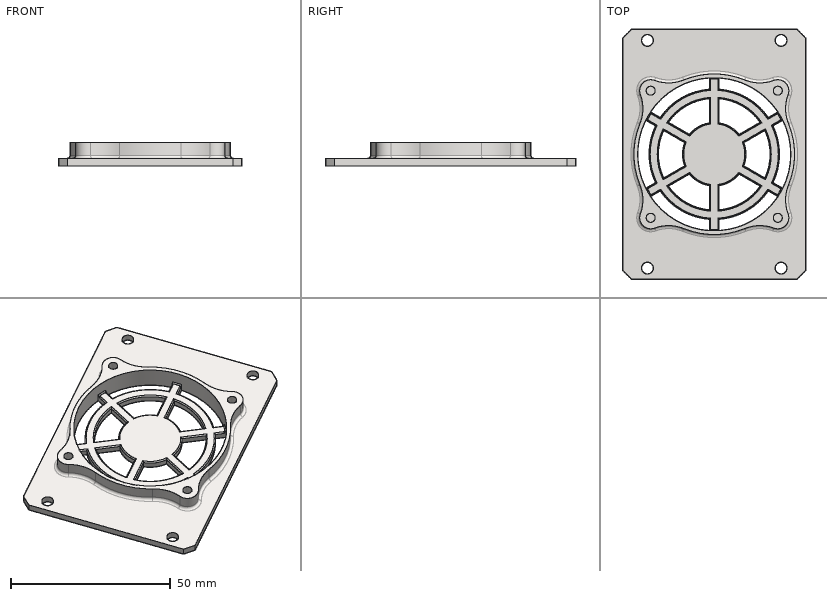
import cadquery as cq
import math

plate_width = 57.6
plate_length = 78.6
plate_thickness = 2.4
corner_chamfer = 2.8
mount_hole_diameter = 3.6
mount_hole_x = 21.0
mount_hole_y = 35.8

total_height = 7.4
collar_height = total_height - plate_thickness
bore_diameter = 48.0
wall_radius = 25.2
lobe_offset = 20.0
lobe_radius = 3.45
flank_radius = 12.5
screw_hole_diameter = 2.8
foot_fillet = 0.95

hub_radius = 10.0
ring_outer_radius = 20.5
ring_inner_radius = 17.5
spoke_width = 3.0
spoke_count = 6
guard_chamfer = 0.4


def point_at(center, radius, angle):
    """Point at a distance and angle (radians) from a center."""
    return center[0] + radius * math.cos(angle), center[1] + radius * math.sin(angle)


def quarter_turn(point, turns):
    """Rotate a point about the origin by whole quarter turns."""
    x, y = point
    for _ in range(turns):
        x, y = -y, x
    return x, y


def collar_profile():
    """Closed outline in which every arc is tangent to its neighbours."""
    diagonal = math.pi / 4
    lobe_center = (lobe_offset, lobe_offset)

    lobe_distance = math.hypot(*lobe_center)
    to_axis = wall_radius + flank_radius
    to_lobe = lobe_radius + flank_radius
    cos_spread = (to_axis**2 + lobe_distance**2 - to_lobe**2) / (2 * to_axis * lobe_distance)
    spread = math.acos(cos_spread)

    flank_center = point_at((0, 0), to_axis, diagonal - spread)
    wall_end = point_at((0, 0), wall_radius, diagonal - spread)
    toward_axis = math.atan2(-flank_center[1], -flank_center[0]) % (2 * math.pi)
    toward_lobe = math.atan2(lobe_offset - flank_center[1], lobe_offset - flank_center[0])
    flank_middle = point_at(flank_center, flank_radius, (toward_axis + toward_lobe) / 2)
    lobe_start = point_at(flank_center, flank_radius, toward_lobe)
    lobe_tip = point_at(lobe_center, lobe_radius, diagonal)

    def mirrored(point):
        return point[1], point[0]

    quarter_arcs = [
        ((wall_radius, 0), wall_end),
        (flank_middle, lobe_start),
        (lobe_tip, mirrored(lobe_start)),
        (mirrored(flank_middle), mirrored(wall_end)),
    ]
    outline = cq.Workplane("XY").workplane(offset=plate_thickness)
    outline = outline.moveTo(wall_end[0], -wall_end[1])
    for turn in range(4):
        for middle, end in quarter_arcs:
            outline = outline.threePointArc(quarter_turn(middle, turn), quarter_turn(end, turn))
    return outline.close()


def plate():
    """Flat rectangle with its four corners cut off at 45 degrees."""
    blank = cq.Workplane("XY").box(plate_width, plate_length, plate_thickness, centered=(True, True, False))
    return blank.edges("|Z").chamfer(corner_chamfer)


def plate_with_collar():
    """Plate and solid collar, with a fillet where the collar meets the plate."""
    collar = collar_profile().extrude(collar_height)
    body = plate().union(collar)
    plate_top = cq.Workplane(body.faces("<Z[-2]").val())
    foot_edges = plate_top.edges("not %LINE")
    return body.newObject(foot_edges.vals()).fillet(foot_fillet)


def spokes(height):
    """Spokes with square edges, long enough to end inside the collar wall."""
    bars = cq.Workplane("XY")
    for i in range(spoke_count // 2):
        bar = (
            cq.Workplane("XY")
            .rect(spoke_width, 2 * wall_radius)
            .extrude(height)
            .rotate((0, 0, 0), (0, 0, 1), i * 360 / spoke_count)
        )
        bars = bars.union(bar)
    return bars


def guard():
    """Hub, ring and spokes, level with the plate and chamfered along the top edges."""
    hub = cq.Workplane("XY").circle(hub_radius).extrude(plate_thickness)
    ring = cq.Workplane("XY").circle(ring_outer_radius).circle(ring_inner_radius).extrude(plate_thickness)
    bars = spokes(plate_thickness).union(hub).union(ring)
    return bars.faces(">Z").edges().chamfer(guard_chamfer)


def spoke_end_ramps():
    """Short 45 degree ramps from the spokes, and from their side chamfers, up to the bore wall."""
    bore_radius = bore_diameter / 2
    ramp_bottom = plate_thickness - guard_chamfer
    ramp_top = plate_thickness + guard_chamfer
    ramp_run = ramp_top - ramp_bottom
    cone_ring = (
        cq.Workplane("XZ")
        .moveTo(bore_radius - ramp_run, ramp_bottom)
        .lineTo(wall_radius, ramp_bottom)
        .lineTo(wall_radius, ramp_top)
        .lineTo(bore_radius, ramp_top)
        .close()
        .revolve(360, (0, 0), (0, 1))
    )
    return cone_ring.intersect(spokes(ramp_top))


def corner_pins(x, y, diameter, bottom, depth):
    """Cutters for four vertical holes placed symmetrically about both axes."""
    places = [(-x, -y), (x, -y), (-x, y), (x, y)]
    return cq.Workplane("XY").workplane(offset=bottom).pushPoints(places).circle(diameter / 2).extrude(depth)


bore = cq.Workplane("XY").circle(bore_diameter / 2).extrude(total_height)
mount_hole_pins = corner_pins(mount_hole_x, mount_hole_y, mount_hole_diameter, 0, plate_thickness)
screw_hole_pins = corner_pins(lobe_offset, lobe_offset, screw_hole_diameter, plate_thickness, collar_height)

body = plate_with_collar().cut(bore).cut(mount_hole_pins).cut(screw_hole_pins)
result = body.union(guard()).union(spoke_end_ramps())